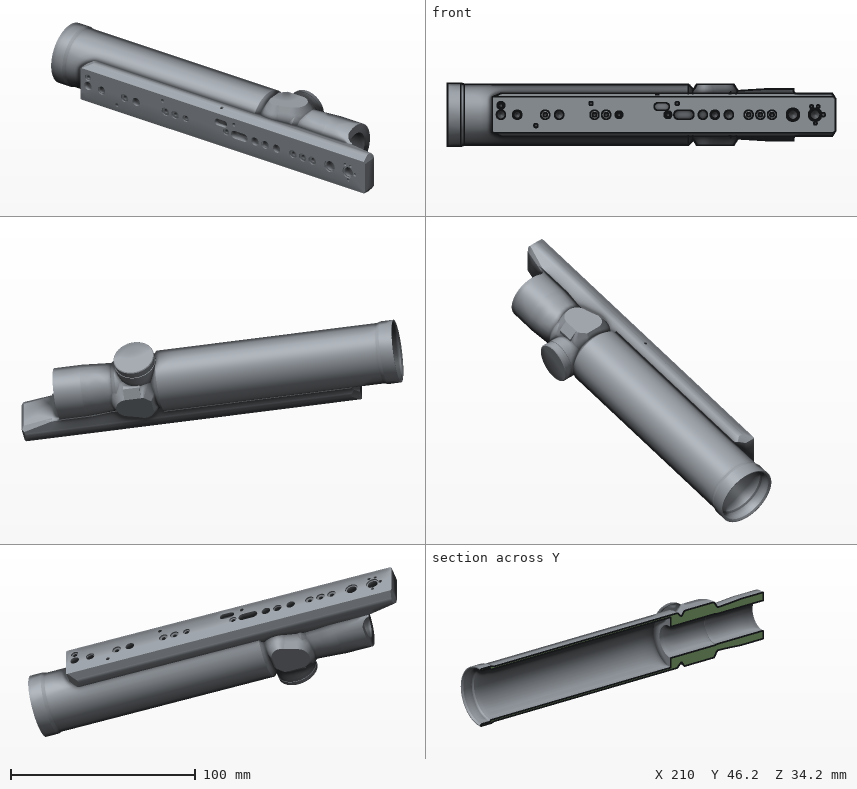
import cadquery as cq
import math


COLLAR_RADIUS = 34.2 / 2
COLLAR_END_X = 7.1
TUBE_RADIUS = 33.0 / 2
TUBE_START_X = 9.0
TUBE_END_X = 130.5
NECK_RADIUS = 12.5
NECK_X = 134.2
SHOULDER_RADIUS = 14.7
SHOULDER_X = 153.3
EYEPIECE_START_X = 155.8
EYEPIECE_START_RADIUS = 25.8 / 2
EYEPIECE_RADIUS = 28.0 / 2
EYEPIECE_COLLAR_X = 172.2
EYEPIECE_END_X = 187.3

CLEARANCE = 2.0

MOUTH_RADIUS = 31.5 / 2
MOUTH_CHAMFER = 0.8
MOUTH_DEPTH = 6.3
MAIN_BORE_START_X = 7.1
MAIN_BORE_RADIUS = 29.8 / 2
MAIN_BORE_END_X = 126.0
WAIST_BORE_RADIUS = 18.5 / 2
REAR_BORE_RADIUS = 17.8 / 2

BLOCK_HALF_HEIGHT = 16.5
BLOCK_DEPTH = 8.5
BLOCK_TAPER = 33.0
SIDE_SLOPE_DROP = 4.2
BLOCK_LEFT_X = 135.0
BLOCK_BACK_Y = 6.7
BLOCK_BACK_EDGE_X = (138.5, 149.0)
BLOCK_LEFT_EDGE_Y = (-5.2, 3.1)
BLOCK_RIGHT_POINT = (154.8, -0.5)
BLOCK_FRONT_EDGE = ((149.3, -6.7), (143.2, -8.8))
BLOCK_FRONT_CORNER_POINT = (137.7, -9.0)
SIDE_SLOPE_X = (140.0, 149.0)
KNOB_X = 141.1
KNOB_RADIUS = 22.3 / 2
KNOB_END_Y = 21.8
KNOB_EDGE = 0.5
KNOB_GROOVE_RADIUS = 21.6 / 2
KNOB_GROOVE_Y = (17.5, 19.3)

RAIL_START_X = 24.1
RAIL_END_X = 210.0
RAIL_FACE_Y = -24.4
RAIL_FACE_HALF_WIDTH = 19.5 / 2
RAIL_HALF_WIDTH = 23.0 / 2
RAIL_WIDEST_Y = -18.5
RAIL_ROUND_HALF_HEIGHT = 1.9
RAIL_ROUND_RISE = 0.5
RAIL_TOP_Y = -13.9
SADDLE_TOP_Y = -10.3
SADDLE_BEND_X = (159.5, 170.0)
SADDLE_REAR_Y = -11.3
SADDLE_START_X = 131.2
NOSE_HALF_WIDTH = 9.5
NOSE_LENGTH = 4.8
NOSE_SLOPE_LENGTH = 3.5
TAIL_CORNER_LENGTH = 1.9
TAIL_CORNER_WIDTH = 3.0
TAIL_SLOPE_START = (192.1, -10.3)
TAIL_SLOPE_END = (208.3, -13.6)
TAIL_END_Y = -15.7
TAIL_HOLLOW_TOP_Y = -6.3
TAIL_HOLLOW_POINT = (188.8, -8.8)
TAIL_BEVEL_INNER_Z = 7.8
TAIL_BEVEL_SLOPE = 0.6

DRILL_TIP_HALF_ANGLE = math.radians(59)
DEEP = 5.2
SHALLOW = 2.5
SEAT = 0.8
SCREW_DIAMETER = 4.8
PILOT_DIAMETER = 4.0
CORE_DIAMETER = 2.3
PIN_DIAMETER = 2.0
PLAIN_HOLES_X = (29.0, 60.5, 152.2)
STEPPED_HOLES_X = (37.8, 144.7)
SEATED_HOLES_X = (53.0, 79.5, 85.9, 163.0, 169.2, 175.5)
SMALL_SEATED_HOLES = ((29.0, 5.0), (92.8, 0), (119.3, 0))
PIN_HOLES = ((47.9, -5.9), (77.7, 6.0), (124.3, 6.0))
FLAT_HOLE_X = 138.2
LARGE_HOLES_X = (186.9, 198.9)
LARGE_DIAMETER = 7.0
LARGE_CORE_DIAMETER = 5.5
SLOTS = ((116.0, 4.5, 8.2, PILOT_DIAMETER, SHALLOW), (127.9, 0, 10.7, SCREW_DIAMETER, DEEP))
TAIL_PINS = ((203.3, 0, 2.0), (199.0, -4.6, 1.72), (197.0, 4.5, 1.72), (200.5, 4.5, 1.72))
SIDE_HOLE = (113.5, -20.2)
SIDE_HOLE_DIAMETER = 1.7
SIDE_HOLE_DEPTH = 2.0


def revolve_about_x(points):
    return cq.Workplane("XY").polyline(points).close().revolve(360, (0, 0, 0), (1, 0, 0))


def make_tube():
    return revolve_about_x([
        (0, 0),
        (0, COLLAR_RADIUS),
        (COLLAR_END_X, COLLAR_RADIUS),
        (TUBE_START_X, TUBE_RADIUS),
        (TUBE_END_X, TUBE_RADIUS),
        (NECK_X, NECK_RADIUS),
        (SHOULDER_X, SHOULDER_RADIUS),
        (EYEPIECE_START_X, EYEPIECE_START_RADIUS),
        (EYEPIECE_COLLAR_X, EYEPIECE_RADIUS),
        (RAIL_END_X, EYEPIECE_RADIUS),
        (RAIL_END_X, 0),
    ])


def make_bores():
    return revolve_about_x([
        (0, 0),
        (0, MOUTH_RADIUS + MOUTH_CHAMFER),
        (MOUTH_CHAMFER, MOUTH_RADIUS),
        (MOUTH_DEPTH, MOUTH_RADIUS),
        (MAIN_BORE_START_X, MAIN_BORE_RADIUS),
        (MAIN_BORE_END_X, MAIN_BORE_RADIUS),
        (MAIN_BORE_END_X, WAIST_BORE_RADIUS),
        (EYEPIECE_START_X, WAIST_BORE_RADIUS),
        (EYEPIECE_START_X, REAR_BORE_RADIUS),
        (RAIL_END_X, REAR_BORE_RADIUS),
        (RAIL_END_X, 0),
    ])


def make_block_half():
    back_left_x, back_right_x = BLOCK_BACK_EDGE_X
    left_front_y, left_back_y = BLOCK_LEFT_EDGE_Y
    front_right, front_left = BLOCK_FRONT_EDGE
    pad = (
        cq.Workplane("XY", origin=(0, 0, BLOCK_HALF_HEIGHT))
        .moveTo(back_left_x, BLOCK_BACK_Y)
        .lineTo(back_right_x, BLOCK_BACK_Y)
        .threePointArc(BLOCK_RIGHT_POINT, front_right)
        .lineTo(*front_left)
        .threePointArc(BLOCK_FRONT_CORNER_POINT, (BLOCK_LEFT_X, left_front_y))
        .lineTo(BLOCK_LEFT_X, left_back_y)
        .close()
        .extrude(-BLOCK_DEPTH, taper=-BLOCK_TAPER)
    )
    left, right = SIDE_SLOPE_X
    slope = (
        cq.Workplane("YZ", origin=(left, 0, 0))
        .polyline([
            (0, BLOCK_HALF_HEIGHT - BLOCK_DEPTH),
            (0, BLOCK_HALF_HEIGHT),
            (BLOCK_BACK_Y, BLOCK_HALF_HEIGHT),
            (BLOCK_BACK_Y + SIDE_SLOPE_DROP, BLOCK_HALF_HEIGHT - SIDE_SLOPE_DROP),
            (BLOCK_BACK_Y + SIDE_SLOPE_DROP, BLOCK_HALF_HEIGHT - BLOCK_DEPTH),
        ])
        .close()
        .extrude(right - left)
    )
    return pad.union(slope)


def make_knob():
    low, high = KNOB_GROOVE_Y
    knob = (
        cq.Workplane("XZ", origin=(KNOB_X, 0, 0))
        .circle(KNOB_RADIUS)
        .extrude(-KNOB_END_Y)
        .faces(">Y")
        .chamfer(KNOB_EDGE)
    )
    groove = (
        cq.Workplane("XZ", origin=(KNOB_X, low, 0))
        .circle(KNOB_RADIUS + CLEARANCE)
        .circle(KNOB_GROOVE_RADIUS)
        .extrude(low - high)
    )
    return knob.cut(groove)


def rail_half_width(y):
    """Half width of the rail flanks, which lean in equally above and below the widest line."""
    shoulder_half_width = RAIL_HALF_WIDTH - RAIL_ROUND_RISE
    shoulder_y = RAIL_WIDEST_Y - RAIL_ROUND_HALF_HEIGHT
    lean = (shoulder_half_width - RAIL_FACE_HALF_WIDTH) / (shoulder_y - RAIL_FACE_Y)
    return shoulder_half_width - lean * (abs(y - RAIL_WIDEST_Y) - RAIL_ROUND_HALF_HEIGHT)


def rail_profile(start_x, top_y):
    lower_y = RAIL_WIDEST_Y - RAIL_ROUND_HALF_HEIGHT
    upper_y = RAIL_WIDEST_Y + RAIL_ROUND_HALF_HEIGHT
    lower = rail_half_width(lower_y)
    upper = rail_half_width(upper_y)
    face = RAIL_FACE_HALF_WIDTH
    top = rail_half_width(top_y)
    return (
        cq.Workplane("YZ", origin=(start_x, 0, 0))
        .moveTo(RAIL_FACE_Y, -face)
        .lineTo(lower_y, -lower)
        .threePointArc((RAIL_WIDEST_Y, -RAIL_HALF_WIDTH), (upper_y, -upper))
        .lineTo(top_y, -top)
        .lineTo(top_y, top)
        .lineTo(upper_y, upper)
        .threePointArc((RAIL_WIDEST_Y, RAIL_HALF_WIDTH), (lower_y, lower))
        .lineTo(RAIL_FACE_Y, face)
        .close()
        .extrude(RAIL_END_X - start_x)
    )


def make_rail():
    bend_start_x, bend_end_x = SADDLE_BEND_X
    saddle_drop = (
        cq.Workplane("XY")
        .polyline([
            (bend_start_x, SADDLE_TOP_Y),
            (bend_end_x, SADDLE_REAR_Y),
            (RAIL_END_X, SADDLE_REAR_Y),
            (RAIL_END_X, SADDLE_TOP_Y),
        ])
        .close()
        .extrude(RAIL_HALF_WIDTH, both=True)
    )
    saddle = rail_profile(SADDLE_START_X, SADDLE_TOP_Y).cut(saddle_drop)
    rail = rail_profile(RAIL_START_X, RAIL_TOP_Y).union(saddle)
    nose_x = RAIL_START_X + NOSE_LENGTH
    corner_x = RAIL_END_X - TAIL_CORNER_LENGTH
    corner_z = RAIL_HALF_WIDTH - TAIL_CORNER_WIDTH
    plan = (
        cq.Workplane("XZ", origin=(0, RAIL_FACE_Y, 0))
        .polyline([
            (RAIL_START_X, NOSE_HALF_WIDTH),
            (nose_x, RAIL_HALF_WIDTH),
            (corner_x, RAIL_HALF_WIDTH),
            (RAIL_END_X, corner_z),
            (RAIL_END_X, -corner_z),
            (corner_x, -RAIL_HALF_WIDTH),
            (nose_x, -RAIL_HALF_WIDTH),
            (RAIL_START_X, -NOSE_HALF_WIDTH),
        ])
        .close()
        .extrude(RAIL_FACE_Y)
    )
    nose_slope = (
        cq.Workplane("XY")
        .polyline([
            (RAIL_START_X, RAIL_WIDEST_Y),
            (RAIL_START_X, RAIL_TOP_Y),
            (RAIL_START_X + NOSE_SLOPE_LENGTH, RAIL_TOP_Y),
        ])
        .close()
        .extrude(RAIL_HALF_WIDTH, both=True)
    )
    return rail.intersect(plan).cut(nose_slope)


def make_tail_cut():
    """Clears everything behind the eyepiece down to a hollow and a gentle slope."""
    return (
        cq.Workplane("XY")
        .moveTo(EYEPIECE_END_X, EYEPIECE_RADIUS + CLEARANCE)
        .lineTo(EYEPIECE_END_X, TAIL_HOLLOW_TOP_Y)
        .threePointArc(TAIL_HOLLOW_POINT, TAIL_SLOPE_START)
        .lineTo(*TAIL_SLOPE_END)
        .lineTo(RAIL_END_X, TAIL_END_Y)
        .lineTo(RAIL_END_X + CLEARANCE, TAIL_END_Y)
        .lineTo(RAIL_END_X + CLEARANCE, EYEPIECE_RADIUS + CLEARANCE)
        .close()
        .extrude(EYEPIECE_RADIUS + CLEARANCE, both=True)
    )


def make_tail_bevel():
    """Bevels the +Z edge of the tail slope along its length."""
    start_x, start_y = TAIL_SLOPE_START
    end_x, end_y = TAIL_SLOPE_END
    across = cq.Plane(
        origin=(start_x, start_y, 0),
        xDir=(0, 0, 1),
        normal=(end_x - start_x, end_y - start_y, 0),
    )
    width = RAIL_HALF_WIDTH - TAIL_BEVEL_INNER_Z
    return (
        cq.Workplane(across)
        .polyline([
            (TAIL_BEVEL_INNER_Z, 0),
            (RAIL_HALF_WIDTH, 0),
            (RAIL_HALF_WIDTH, width * TAIL_BEVEL_SLOPE),
        ])
        .close()
        .extrude(RAIL_END_X - start_x)
    )


def drilled_hole(x, z, diameter, depth):
    """A hole from the rail face that ends in a drill point."""
    radius = diameter / 2
    tip_depth = depth + radius / math.tan(DRILL_TIP_HALF_ANGLE)
    return (
        cq.Workplane("XY", origin=(x, RAIL_FACE_Y, z))
        .polyline([(0, 0), (radius, 0), (radius, depth), (0, tip_depth)])
        .close()
        .revolve(360, (0, 0, 0), (0, 1, 0))
    )


def flat_hole(x, z, diameter, depth):
    return cq.Workplane("XZ", origin=(x, RAIL_FACE_Y, z)).circle(diameter / 2).extrude(-depth)


def slot(x, z, length, width, depth):
    return cq.Workplane("XZ", origin=(x, RAIL_FACE_Y, z)).slot2D(length, width).extrude(-depth)


def stepped_hole(x, z, outer, inner):
    return flat_hole(x, z, outer, SEAT).union(drilled_hole(x, z, inner, DEEP))


def rail_holes():
    holes = [drilled_hole(x, 0, SCREW_DIAMETER, DEEP) for x in PLAIN_HOLES_X]
    holes += [stepped_hole(x, 0, SCREW_DIAMETER, PILOT_DIAMETER) for x in STEPPED_HOLES_X]
    holes += [stepped_hole(x, 0, SCREW_DIAMETER, CORE_DIAMETER) for x in SEATED_HOLES_X]
    holes += [stepped_hole(x, z, PILOT_DIAMETER, CORE_DIAMETER) for x, z in SMALL_SEATED_HOLES]
    holes += [flat_hole(x, z, PIN_DIAMETER, SHALLOW) for x, z in PIN_HOLES]
    holes += [stepped_hole(x, 0, LARGE_DIAMETER, LARGE_CORE_DIAMETER) for x in LARGE_HOLES_X]
    holes += [slot(*placing) for placing in SLOTS]
    holes += [flat_hole(x, z, diameter, SHALLOW) for x, z, diameter in TAIL_PINS]
    holes.append(flat_hole(FLAT_HOLE_X, 0, SCREW_DIAMETER, DEEP))
    return holes


def side_hole():
    x, y = SIDE_HOLE
    return (
        cq.Workplane("XY", origin=(x, y, RAIL_HALF_WIDTH))
        .circle(SIDE_HOLE_DIAMETER / 2)
        .extrude(-SIDE_HOLE_DEPTH)
    )


block_half = make_block_half()
body = make_tube().union(block_half).union(block_half.mirror("XY"))
body = body.union(make_knob()).union(make_rail())
tail_bevel = make_tail_bevel()
body = body.cut(tail_bevel).cut(tail_bevel.mirror("XY"))
body = body.cut(make_tail_cut()).cut(make_bores())
for hole in rail_holes():
    body = body.cut(hole)
result = body.cut(side_hole())